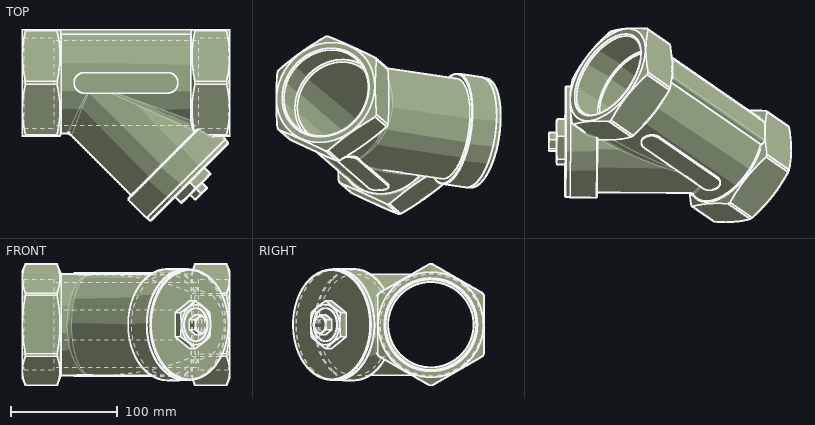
import cadquery as cq
import math

overall_length = 195.0
run_diameter = 95.5
bore_diameter = 80.0
socket_length = 36.0
socket_flats = 100.0
socket_corners = 114.0
socket_face_diameter = 98.9
socket_chamfer_length = 3.1
socket_shoulder_diameter = 97.1
socket_shoulder_chamfer = 3.3
thread_diameter = 85.0
thread_depth = 29.6
mouth_diameter = 87.8
mouth_depth = 1.4

branch_angle = 45.0
branch_start_x = -33.5
branch_diameter = 95.2
branch_fillet = 5.8
collar_diameter = 105.0
collar_start = 101.8
collar_chamfer = 0.8
collar_fillet = 1.0
cap_diameter = 104.0
cap_start = 127.1
cap_end = 132.0
cap_chamfer = 0.8

nut_flats = 39.0
nut_height = 8.4
nut_face_diameter = 37.8
nut_chamfer_length = 1.2
recess_diameter = 31.0
recess_depth = 1.0
head_flats = 16.0
head_height = 7.0
head_face_diameter = 15.2
head_chamfer_length = 0.5

pad_length = 97.5
pad_width = 19.3
pad_level = 48.5
rib_width = 28.3
rib_edge_radius = 3.0

run_start = -overall_length / 2
cos_30 = math.cos(math.radians(30))
branch_plane = cq.Plane(
    origin=(branch_start_x, 0, 0),
    xDir=(0, 0, 1),
    normal=(math.cos(math.radians(branch_angle)), -math.sin(math.radians(branch_angle)), 0),
)


def along_run(x):
    return cq.Workplane("YZ", origin=(x, 0, 0))


def along_branch(distance):
    return cq.Workplane(branch_plane).workplane(offset=distance)


def turned_hexagon(base, flats, corners, length, front_chamfer, back_chamfer=None):
    """Hexagonal prism turned down to a corner diameter.

    Each chamfer is a cone, given as its small diameter and its length along the axis.
    """
    hexagon = base.polygon(6, flats / cos_30).extrude(length)
    blank = cq.Workplane().circle(corners / 2).extrude(length)
    for face, chamfer in ((">Z", front_chamfer), ("<Z", back_chamfer)):
        if chamfer:
            small_diameter, chamfer_length = chamfer
            blank = blank.faces(face).chamfer(chamfer_length, (corners - small_diameter) / 2)
    return hexagon.intersect(cq.Workplane(blank.val().moved(base.plane.location)))


def make_junction():
    """Run and branch pipes with a rounded edge where they meet."""
    run = along_run(run_start).circle(run_diameter / 2).extrude(overall_length)
    branch = along_branch(0).circle(branch_diameter / 2).extrude(cap_start)
    return run.union(branch).edges("%BSPLINE").fillet(branch_fillet)


def make_left_socket():
    """Hexagonal end with a corner pointing up and a small fillet at its shoulder."""
    shoulder_x = run_start + socket_length
    base = cq.Workplane(cq.Plane(origin=(shoulder_x, 0, 0), xDir=(0, 0, 1), normal=(-1, 0, 0)))
    socket = turned_hexagon(
        base, socket_flats, socket_corners, socket_length,
        (socket_face_diameter, socket_chamfer_length),
        (socket_shoulder_diameter, socket_shoulder_chamfer),
    )
    fillet_radius = (socket_shoulder_diameter - run_diameter) / 2
    arc_drop = fillet_radius * math.sqrt(0.5)
    fillet_ring = (
        cq.Workplane()
        .moveTo(shoulder_x, 0)
        .lineTo(shoulder_x, socket_shoulder_diameter / 2)
        .threePointArc(
            (shoulder_x + fillet_radius - arc_drop, socket_shoulder_diameter / 2 - arc_drop),
            (shoulder_x + fillet_radius, run_diameter / 2),
        )
        .lineTo(shoulder_x + fillet_radius, 0)
        .close()
        .revolve(360, (0, 0, 0), (1, 0, 0))
    )
    return socket.union(fillet_ring)


def make_label_pads():
    """Flat slot-shaped pads on the top and bottom of the run."""
    return cq.Workplane().slot2D(pad_length, pad_width).extrude(pad_level, both=True)


def make_rib():
    """Rib between the sockets, flush with their back flats."""
    rib_length = overall_length - 2 * socket_length
    back = socket_flats / 2
    rib = cq.Workplane().box(rib_length, back, rib_width, centered=(True, False, True))
    return rib.faces(">Y").edges("|X").fillet(rib_edge_radius)


def make_cap():
    """Collar and cap closing the branch."""
    collar = along_branch(collar_start).circle(collar_diameter / 2).extrude(cap_start - collar_start)
    inner_end = cq.selectors.DirectionMinMaxSelector(branch_plane.zDir, False)
    collar = collar.faces(inner_end).chamfer(collar_chamfer)
    cap = along_branch(cap_start).circle(cap_diameter / 2).extrude(cap_end - cap_start)
    outer_end = cq.selectors.DirectionMinMaxSelector(branch_plane.zDir, True)
    cap = cap.faces(outer_end).chamfer(cap_chamfer)
    return collar.union(cap)


def make_plug():
    """Recessed nut with a smaller hexagonal head standing in the recess."""
    nut_end = cap_end + nut_height
    nut = turned_hexagon(
        along_branch(cap_end), nut_flats, nut_flats / cos_30, nut_height,
        (nut_face_diameter, nut_chamfer_length),
    )
    recess_floor = nut_end - recess_depth
    recess = along_branch(recess_floor).circle(recess_diameter / 2).extrude(recess_depth)
    head = turned_hexagon(
        along_branch(recess_floor), head_flats, head_flats / cos_30, recess_depth + head_height,
        (head_face_diameter, head_chamfer_length),
    )
    return nut.cut(recess).union(head)


def make_bore():
    """Through bore with a wider thread bore and a conical mouth at each end."""
    bore = along_run(run_start).circle(bore_diameter / 2).extrude(overall_length)
    thread = (
        cq.Workplane()
        .moveTo(run_start, 0)
        .lineTo(run_start, mouth_diameter / 2)
        .lineTo(run_start + mouth_depth, thread_diameter / 2)
        .lineTo(run_start + thread_depth, thread_diameter / 2)
        .lineTo(run_start + thread_depth, 0)
        .close()
        .revolve(360, (0, 0, 0), (1, 0, 0))
    )
    return bore.union(thread).union(thread.mirror("YZ"))


def round_collar_contact(body):
    """Fillet the curved edges where the collar meets the flats of the right socket."""
    right_end = -run_start
    flats_start = right_end - socket_length + socket_shoulder_chamfer
    reach = socket_corners / 2
    contact_box = cq.selectors.BoxSelector((flats_start, -reach, -reach), (right_end, 0, reach))
    curved = cq.selectors.TypeSelector("ELLIPSE") + cq.selectors.TypeSelector("BSPLINE")
    return body.edges(contact_box & curved).fillet(collar_fillet)


left_socket = make_left_socket()
result = make_junction()
for feature in (
    left_socket,
    left_socket.mirror("YZ"),
    make_label_pads(),
    make_rib(),
    make_cap(),
    make_plug(),
):
    result = result.union(feature)
result = round_collar_contact(result).cut(make_bore()).solids()